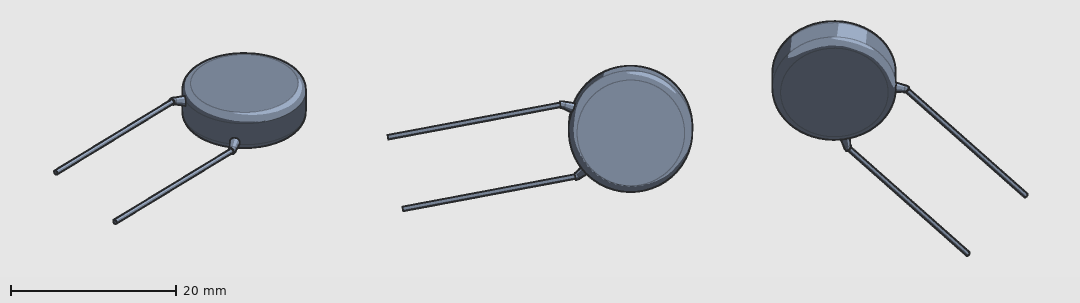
import cadquery as cq
import math

disc_diameter = 15.0
disc_height = 5.0
disc_edge_radius = 1.0
overall_length = 36.5

wire_diameter = 0.6
wire_offset_x = 4.78

sleeve_end_y = -7.75
sleeve_end_diameter = 0.88
sleeve_root_diameter = 1.3
sleeve_cone_length = 1.45
bend_radius = 0.8
bend_angle = 32.0
bend_tilt = 20.0

disc_radius = disc_diameter / 2
wire_offset_z = disc_height / 2 - disc_edge_radius
wire_end_y = disc_radius - overall_length

bend_start = cq.Vector(-wire_offset_x, sleeve_end_y, wire_offset_z)
bend_centre = bend_start + cq.Vector(bend_radius, 0, 0)
turn = math.radians(bend_angle)
bend_end = bend_centre + cq.Vector(-bend_radius * math.cos(turn), bend_radius * math.sin(turn), 0)
root_direction = cq.Vector(math.sin(turn), math.cos(turn), 0)


def tilt_left_lead(shape):
    """Turn a shape about the straight part of the left wire, toward mid height."""
    return shape.rotate(bend_start.toTuple(), (bend_start + cq.Vector(0, 0.35, 0)).toTuple(), bend_tilt)


def make_left_sleeve():
    """Coating run-down on the wire: a bend, then a cone that widens into the disc."""
    start_plane = cq.Plane(origin=bend_start.toTuple(), xDir=(1, 0, 0), normal=(0, 1, 0))
    bend = cq.Workplane(start_plane).circle(sleeve_end_diameter / 2)
    bend = bend.revolve(bend_angle, (bend_radius, 0), (bend_radius, 1))
    cone = cq.Solid.makeCone(
        sleeve_end_diameter / 2, sleeve_root_diameter / 2, sleeve_cone_length, bend_end, root_direction
    )
    return tilt_left_lead(bend.union(cq.Workplane(cone)))


def make_left_wire():
    """Round wire swept along its straight leg, the bend and the axis of the cone."""
    outer_end = cq.Vector(-wire_offset_x, wire_end_y, wire_offset_z)
    inner_end = bend_end + root_direction * sleeve_cone_length
    path = (
        cq.Workplane("XY", origin=(0, 0, wire_offset_z))
        .moveTo(outer_end.x, outer_end.y)
        .lineTo(bend_start.x, bend_start.y)
        .tangentArcPoint((bend_end.x, bend_end.y), relative=False)
        .lineTo(inner_end.x, inner_end.y)
    )
    end_plane = cq.Plane(origin=outer_end.toTuple(), xDir=(1, 0, 0), normal=(0, 1, 0))
    wire = cq.Workplane(end_plane).circle(wire_diameter / 2).sweep(path)
    return tilt_left_lead(wire)


def both_sides(left_shape):
    """The left shape and its copy turned half a turn about the Y axis."""
    return [left_shape.rotate((0, 0, 0), (0, 1, 0), angle) for angle in (0, 180)]


def make_coating(wires):
    """Rounded disc with two sleeves, hollowed where the wires run."""
    coating = cq.Workplane("XY").circle(disc_radius).extrude(disc_height)
    coating = coating.edges("%CIRCLE").fillet(disc_edge_radius).translate((0, 0, -disc_height / 2))
    for sleeve in both_sides(make_left_sleeve()):
        coating = coating.union(sleeve)
    for wire in wires:
        coating = coating.cut(wire)
    return coating


wires = both_sides(make_left_wire())
coating = make_coating(wires)

result = cq.Compound.makeCompound([coating.val(), *[wire.val() for wire in wires]])